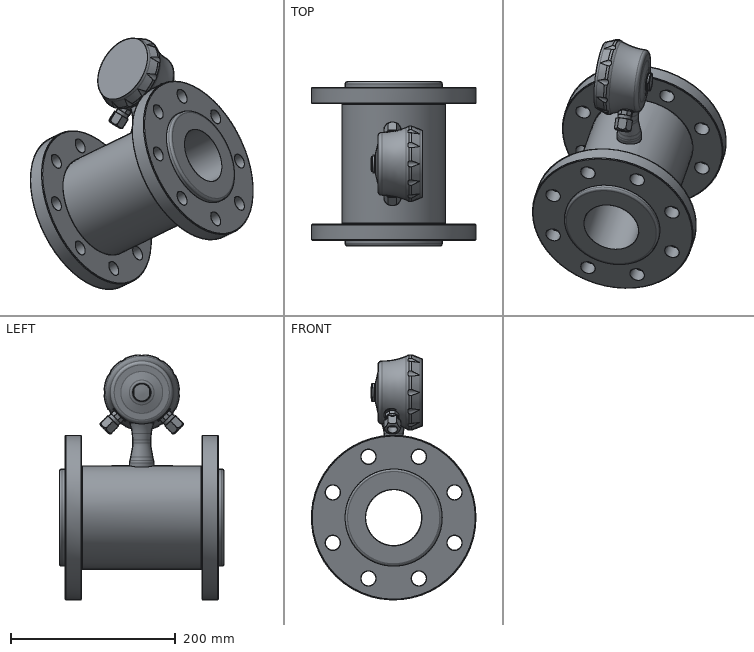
import cadquery as cq
import math

OVERALL_LENGTH = 200.0
BORE_DIAMETER = 68.0
PIPE_DIAMETER = 126.0
PIPE_END_CHAMFER = 1.0
FLANGE_DIAMETER = 200.0
FLANGE_THICKNESS = 20.0
FLANGE_CHAMFER = 1.0
RAISED_FACE_DIAMETER = 118.0
RAISED_FACE_HEIGHT = 7.0
RAISED_FACE_FILLET = 3.0
BOLT_COUNT = 8
BOLT_HOLE_DIAMETER = 18.0
BOLT_CIRCLE_DIAMETER = 160.0

NECK_BOTTOM_Z = 50.0
NECK_FOOT_TOP_Z = 66.5
NECK_FOOT_RADIUS = 15.0
NECK_SHOULDER_Z = 69.3
NECK_SHOULDER_RADIUS = 14.5
NECK_TAPER_TOP_Z = 73.9
NECK_TAPER_TOP_RADIUS = 13.5
NECK_WAIST_BOTTOM_Z = 90.5
NECK_WAIST_TOP_Z = 94.1
NECK_WAIST_RADIUS = 11.0
NECK_FLARE_BOTTOM_Z = 102.4
NECK_FLARE_BOTTOM_RADIUS = 11.75
NECK_FLARE_TOP_Z = 115.0
NECK_FLARE_TOP_RADIUS = 14.7

HEAD_Z = 152.0
BACK_X = -19.0
BACK_RADIUS = 38.2
BACK_FILLET = 4.7
DOME_RADIUS = 25.5
DOME_TOP_X = -21.4
DOME_TOP_RADIUS = 15.0
PLUG_SEAT_X = -22.3
PLUG_SEAT_RADIUS = 11.75
COVER_START_X = 15.2
COVER_START_RADIUS = 44.0
COVER_RIM_START_X = 18.6
COVER_RIM_END_X = 21.8
COVER_RIM_RADIUS = 45.9
COVER_TAPER_END_X = 31.8
COVER_TAPER_END_RADIUS = 83.7 / 2
COVER_END_X = 35.0
COVER_END_RADIUS = 81.2 / 2

PLUG_STEM_RADIUS = 10.5
PLUG_HEAD_RADIUS = 11.0
PLUG_HEAD_START_X = -23.5
PLUG_HEAD_END_X = -27.0
PLUG_CHAMFER_LENGTH = 1.0
PLUG_FACE_RADIUS = 10.4
PLUG_APEX_X = -27.8
PLUG_FLAT_DEPTH = 2.0
PLUG_ACROSS_FLATS = 18.4

NOTCH_COUNT = 12
NOTCH_TIP_X = 31.7
NOTCH_TIP_LIFT = 0.1
NOTCH_START_X = 17.2
NOTCH_START_RADIUS = 45.1
NOTCH_HALF_ANGLE = 25.0

GLAND_ANGLE = 45.0
GLAND_X = -1.5
GLAND_BASE_DIAMETER = 21.0
GLAND_COLLAR_DIAMETER = 16.0
OCTAGON_START = 39.0
OCTAGON_SIDES = 8
OCTAGON_LENGTH = 5.5
OCTAGON_CORNER_DIAMETER = 17.6
OCTAGON_TURN = 180 / OCTAGON_SIDES
NUT_START = 49.0
NUT_SIDES = 6
NUT_LENGTH = 14.5
NUT_CORNER_DIAMETER = 20.8
NUT_END_FILLET = 3.8
CABLE_HOLE_DIAMETER = 12.0
CABLE_HOLE_DEPTH = 10.0


def y_cylinder(diameter, y_start, length):
    """Cylinder along +Y starting at y_start."""
    plane = cq.Plane(origin=(0, y_start, 0), xDir=(1, 0, 0), normal=(0, 1, 0))
    return cq.Workplane(plane).circle(diameter / 2).extrude(length)


def make_flange():
    """Flange at the +Y end with its raised face."""
    outer_y = OVERALL_LENGTH / 2
    face_y = outer_y - RAISED_FACE_HEIGHT
    disc = y_cylinder(FLANGE_DIAMETER, face_y - FLANGE_THICKNESS, FLANGE_THICKNESS)
    disc = disc.edges().chamfer(FLANGE_CHAMFER)
    raised_face = y_cylinder(RAISED_FACE_DIAMETER, face_y, RAISED_FACE_HEIGHT)
    raised_face = raised_face.faces(">Y").edges().fillet(RAISED_FACE_FILLET)
    return disc.union(raised_face)


def make_pipe_body():
    """Flanged pipe without its bore and bolt holes."""
    pipe_length = OVERALL_LENGTH - 2 * (RAISED_FACE_HEIGHT + FLANGE_THICKNESS)
    pipe = y_cylinder(PIPE_DIAMETER, -pipe_length / 2, pipe_length)
    pipe = pipe.edges().chamfer(PIPE_END_CHAMFER)
    flange = make_flange()
    return pipe.union(flange).union(flange.mirror("XZ"))


def make_pipe_holes():
    """Bore and bolt holes, running the whole length."""
    start = -OVERALL_LENGTH / 2
    holes = y_cylinder(BORE_DIAMETER, start, OVERALL_LENGTH)
    bolt_hole = y_cylinder(BOLT_HOLE_DIAMETER, start, OVERALL_LENGTH)
    for i in range(BOLT_COUNT):
        angle = math.radians((i + 0.5) * 360 / BOLT_COUNT)
        x = BOLT_CIRCLE_DIAMETER / 2 * math.cos(angle)
        z = BOLT_CIRCLE_DIAMETER / 2 * math.sin(angle)
        holes = holes.union(bolt_hole.translate((x, 0, z)))
    return holes


def make_neck():
    """Turned neck that carries the head."""
    profile = (
        cq.Workplane("XZ")
        .moveTo(0, NECK_BOTTOM_Z)
        .lineTo(NECK_FOOT_RADIUS, NECK_BOTTOM_Z)
        .lineTo(NECK_FOOT_RADIUS, NECK_FOOT_TOP_Z)
        .lineTo(NECK_SHOULDER_RADIUS, NECK_SHOULDER_Z)
        .lineTo(NECK_TAPER_TOP_RADIUS, NECK_TAPER_TOP_Z)
        .spline(
            [(NECK_WAIST_RADIUS, NECK_WAIST_BOTTOM_Z)],
            tangents=[
                (NECK_TAPER_TOP_RADIUS - NECK_SHOULDER_RADIUS, NECK_TAPER_TOP_Z - NECK_SHOULDER_Z),
                (0, 1),
            ],
            includeCurrent=True,
        )
        .lineTo(NECK_WAIST_RADIUS, NECK_WAIST_TOP_Z)
        .lineTo(NECK_FLARE_BOTTOM_RADIUS, NECK_FLARE_BOTTOM_Z)
        .tangentArcPoint((NECK_FLARE_TOP_RADIUS, NECK_FLARE_TOP_Z), relative=False)
        .lineTo(NECK_FLARE_TOP_RADIUS, HEAD_Z)
        .lineTo(0, HEAD_Z)
        .close()
    )
    return profile.revolve(360, (0, 0, 0), (0, 1, 0))


def make_head():
    """Housing with its domed back and its cover, turned about X."""
    fillet_end_x = BACK_X + BACK_FILLET
    fillet_mid_offset = BACK_FILLET * (1 - math.sqrt(0.5))
    fillet_mid_x = BACK_X + fillet_mid_offset
    fillet_mid_radius = BACK_RADIUS - fillet_mid_offset
    profile = (
        cq.Workplane("XY")
        .moveTo(PLUG_SEAT_X, 0)
        .lineTo(PLUG_SEAT_X, PLUG_SEAT_RADIUS)
        .lineTo(DOME_TOP_X, DOME_TOP_RADIUS)
        .lineTo(BACK_X, DOME_RADIUS)
        .lineTo(BACK_X, BACK_RADIUS - BACK_FILLET)
        .threePointArc((fillet_mid_x, fillet_mid_radius), (fillet_end_x, BACK_RADIUS))
        .tangentArcPoint((COVER_START_X, COVER_START_RADIUS), relative=False)
        .lineTo(COVER_RIM_START_X, COVER_RIM_RADIUS)
        .lineTo(COVER_RIM_END_X, COVER_RIM_RADIUS)
        .lineTo(COVER_TAPER_END_X, COVER_TAPER_END_RADIUS)
        .lineTo(COVER_END_X, COVER_END_RADIUS)
        .lineTo(COVER_END_X, 0)
        .close()
    )
    return profile.revolve(360, (0, 0, 0), (1, 0, 0))


def make_plug():
    """Plug with a shallow conical face and two wrench flats."""
    profile = (
        cq.Workplane("XY")
        .moveTo(BACK_X, 0)
        .lineTo(BACK_X, PLUG_STEM_RADIUS)
        .lineTo(PLUG_HEAD_START_X, PLUG_STEM_RADIUS)
        .lineTo(PLUG_HEAD_START_X, PLUG_HEAD_RADIUS)
        .lineTo(PLUG_HEAD_END_X + PLUG_CHAMFER_LENGTH, PLUG_HEAD_RADIUS)
        .lineTo(PLUG_HEAD_END_X, PLUG_FACE_RADIUS)
        .lineTo(PLUG_APEX_X, 0)
        .close()
    )
    plug = profile.revolve(360, (0, 0, 0), (1, 0, 0))
    flat_end_x = PLUG_HEAD_END_X + PLUG_FLAT_DEPTH
    for side in (-1, 1):
        flat_cut = cq.Workplane("XY").box(
            flat_end_x - PLUG_APEX_X, PLUG_HEAD_RADIUS, 2 * PLUG_HEAD_RADIUS
        )
        flat_y = side * (PLUG_ACROSS_FLATS + PLUG_HEAD_RADIUS) / 2
        plug = plug.cut(flat_cut.translate(((flat_end_x + PLUG_APEX_X) / 2, flat_y, 0)))
    return plug


def make_notch():
    """Conical cutter at the top of the cover; its apex lies just above the cover taper."""
    taper_slope = (COVER_RIM_RADIUS - COVER_TAPER_END_RADIUS) / (COVER_TAPER_END_X - COVER_RIM_END_X)
    taper_radius = COVER_TAPER_END_RADIUS + taper_slope * (COVER_TAPER_END_X - NOTCH_TIP_X)
    tip_radius = taper_radius + NOTCH_TIP_LIFT
    length = NOTCH_TIP_X - NOTCH_START_X
    floor_angle = math.degrees(math.atan2(NOTCH_START_RADIUS - tip_radius, length))
    base_radius = length * math.tan(math.radians(NOTCH_HALF_ANGLE))
    cone = cq.Solid.makeCone(0, base_radius, length, dir=cq.Vector(-1, 0, 0))
    notch = cq.Workplane(cone).rotate((0, 0, 0), (1, 0, 0), 180)
    notch = notch.rotate((0, 0, 0), (0, 1, 0), floor_angle + NOTCH_HALF_ANGLE)
    return notch.translate((NOTCH_TIP_X, 0, tip_radius))


def cut_notches(head):
    """Cut the grip notches at equal steps around the cover."""
    notch = make_notch()
    for i in range(NOTCH_COUNT):
        head = head.cut(notch.rotate((0, 0, 0), (1, 0, 0), i * 360 / NOTCH_COUNT))
    return head


def make_nut():
    """Hexagonal gland nut along +Z, rounded at its outer end, with the cable hole."""
    nut = cq.Workplane("XY").polygon(NUT_SIDES, NUT_CORNER_DIAMETER).extrude(NUT_LENGTH)
    envelope = cq.Workplane("XY").circle(NUT_CORNER_DIAMETER / 2).extrude(NUT_LENGTH)
    envelope = envelope.faces(">Z").edges().fillet(NUT_END_FILLET)
    nut = nut.intersect(envelope)
    return nut.faces(">Z").workplane().hole(CABLE_HOLE_DIAMETER, CABLE_HOLE_DEPTH)


def make_gland():
    """Cable gland along +Z: round base, octagon, round collar and hexagonal nut."""
    octagon_end = OCTAGON_START + OCTAGON_LENGTH
    base = cq.Workplane("XY").circle(GLAND_BASE_DIAMETER / 2).extrude(OCTAGON_START)
    octagon = (
        cq.Workplane("XY")
        .polygon(OCTAGON_SIDES, OCTAGON_CORNER_DIAMETER)
        .extrude(OCTAGON_LENGTH)
        .rotate((0, 0, 0), (0, 0, 1), OCTAGON_TURN)
        .translate((0, 0, OCTAGON_START))
    )
    collar = (
        cq.Workplane("XY", origin=(0, 0, octagon_end))
        .circle(GLAND_COLLAR_DIAMETER / 2)
        .extrude(NUT_START - octagon_end)
    )
    nut = make_nut().translate((0, 0, NUT_START))
    return base.union(octagon).union(collar).union(nut)


def make_head_assembly():
    """Head, plug and both glands, built about the head axis and lifted into place."""
    head = cut_notches(make_head()).union(make_plug())
    gland = make_gland()
    for side in (-1, 1):
        tilt = side * (180 - GLAND_ANGLE)
        placed_gland = gland.rotate((0, 0, 0), (1, 0, 0), tilt).translate((GLAND_X, 0, 0))
        head = head.union(placed_gland)
    return head.translate((0, 0, HEAD_Z))


body = make_pipe_body().cut(make_pipe_holes())
result = body.union(make_neck()).union(make_head_assembly())